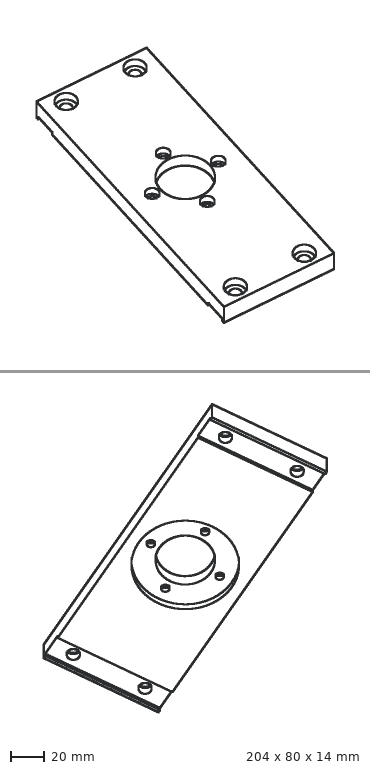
import cadquery as cq

length = 204
width = 80.0
thickness = 14.0

channel_depth = 2.0
end_lip = 2.0
channel_length = 15.0

bore_diameter = 36.0

recess_diameter = 65.0
recess_depth = 5.0

mount_spacing_x = 184.0
mount_spacing_y = 50.0
mount_hole_diameter = 8.0
mount_head_diameter = 14.0
mount_head_depth = 6.0

ring_diameter = 48.0
ring_hole_count = 4
ring_hole_diameter = 5.0
ring_head_diameter = 9.0
ring_head_depth = 5.0


def cut_channels(plate):
    """Cut one channel inside each end lip, through the full width."""
    offset = length / 2 - end_lip - channel_length / 2
    channels = (
        cq.Workplane("XY")
        .pushPoints([(-offset, 0), (offset, 0)])
        .rect(channel_length, width)
        .extrude(channel_depth)
    )
    return plate.cut(channels)


def cut_recess(plate):
    recess = cq.Workplane("XY").circle(recess_diameter / 2).extrude(recess_depth)
    return plate.cut(recess)


def on_top(plate):
    """Return a workplane on the top face, centred on the plate."""
    return plate.faces(">Z").workplane(origin=(0, 0, thickness))


def drill_bore(plate):
    return on_top(plate).hole(bore_diameter)


def drill_mount_holes(plate):
    return (
        on_top(plate)
        .rarray(mount_spacing_x, mount_spacing_y, 2, 2)
        .cboreHole(mount_hole_diameter, mount_head_diameter, mount_head_depth)
    )


def drill_ring_holes(plate):
    return (
        on_top(plate)
        .polarArray(ring_diameter / 2, 0, 360, ring_hole_count)
        .cboreHole(ring_hole_diameter, ring_head_diameter, ring_head_depth)
    )


result = cq.Workplane("XY").box(length, width, thickness, centered=(True, True, False))
result = cut_channels(result)
result = cut_recess(result)
result = drill_bore(result)
result = drill_mount_holes(result)
result = drill_ring_holes(result)